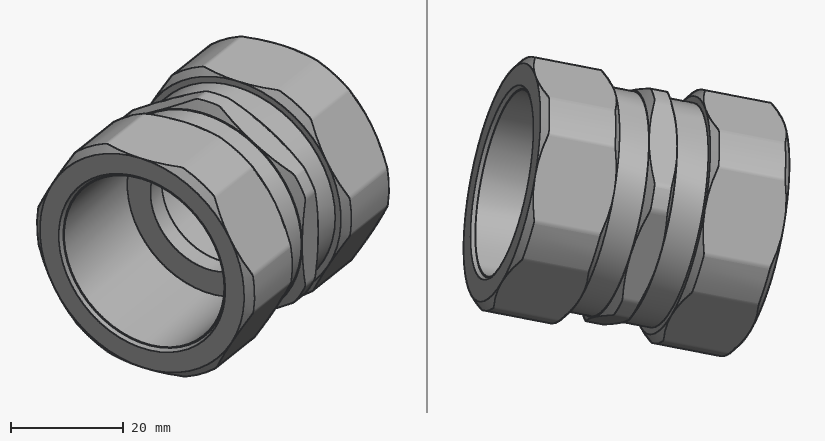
import cadquery as cq

LENGTH = 46.55

NUT_LENGTH = 14.8
NUT_ACROSS_FLATS = 43.05
NUT_CORNER_DIAMETER = 45.85
NUT_EDGE_FILLET = 2.1
NUT_CHAMFER_HEIGHT = 1.2
NUT_TWIST = 29.3

COLLAR_LENGTH = 5.25
COLLAR_ACROSS_FLATS = 41.0
COLLAR_CORNER_DIAMETER = 44.8
COLLAR_EDGE_FILLET = 2.55
COLLAR_CHAMFER_HEIGHT = 1.05
COLLAR_TWIST = 0.0

BODY_DIAMETER = 40.6
BORE_DIAMETER = 24.0
SOCKET_DIAMETER = 33.7
SOCKET_DEPTH = 21.4
MOUTH_DIAMETER = 35.1
LIP_DIAMETER = 34.1
MOUTH_DEPTH = 0.7


def cylinder(diameter, start, length):
    """Cylinder on the Y axis, from y = start to y = start + length."""
    return cq.Workplane("XZ", origin=(0, start, 0)).circle(diameter / 2).extrude(-length)


def chamfered_hexagon(center, length, across_flats, corner_diameter, fillet, chamfer_height, twist):
    """Hexagon with rounded corners, blended flats and both ends chamfered down to the flats."""
    start = center - length / 2
    prism = (
        cq.Workplane("XZ", origin=(0, start, 0))
        .polygon(6, across_flats, circumscribed=True)
        .extrude(-length)
    )
    rounded = prism.intersect(cylinder(corner_diameter, start, length)).edges("|Y").fillet(fillet)

    corner_radius = corner_diameter / 2
    end_radius = across_flats / 2
    end = start + length
    envelope = (
        cq.Workplane("XY")
        .polyline([
            (0, start),
            (end_radius, start),
            (corner_radius, start + chamfer_height),
            (corner_radius, end - chamfer_height),
            (end_radius, end),
            (0, end),
        ])
        .close()
        .revolve(360, (0, 0, 0), (0, 1, 0))
    )
    return rounded.intersect(envelope).rotate((0, 0, 0), (0, 1, 0), twist)


def nut(side):
    """Clamping nut flush with the end on the given side (-1 or 1)."""
    return chamfered_hexagon(
        side * (LENGTH - NUT_LENGTH) / 2, NUT_LENGTH, NUT_ACROSS_FLATS,
        NUT_CORNER_DIAMETER, NUT_EDGE_FILLET, NUT_CHAMFER_HEIGHT, NUT_TWIST,
    )


def socket(side):
    """Pipe socket with a tapered mouth ending on a small step, cut inward from the end on the given side."""
    face = side * LENGTH / 2
    profile = [
        (0, face),
        (MOUTH_DIAMETER / 2, face),
        (LIP_DIAMETER / 2, face - side * MOUTH_DEPTH),
        (SOCKET_DIAMETER / 2, face - side * MOUTH_DEPTH),
        (SOCKET_DIAMETER / 2, face - side * SOCKET_DEPTH),
        (0, face - side * SOCKET_DEPTH),
    ]
    return cq.Workplane("XY").polyline(profile).close().revolve(360, (0, 0, 0), (0, 1, 0))


collar = chamfered_hexagon(
    0, COLLAR_LENGTH, COLLAR_ACROSS_FLATS, COLLAR_CORNER_DIAMETER,
    COLLAR_EDGE_FILLET, COLLAR_CHAMFER_HEIGHT, COLLAR_TWIST,
)
result = cylinder(BODY_DIAMETER, -LENGTH / 2, LENGTH).union(collar)

for side in (-1, 1):
    result = result.union(nut(side))

result = result.cut(cylinder(BORE_DIAMETER, -LENGTH / 2, LENGTH))
for side in (-1, 1):
    result = result.cut(socket(side))